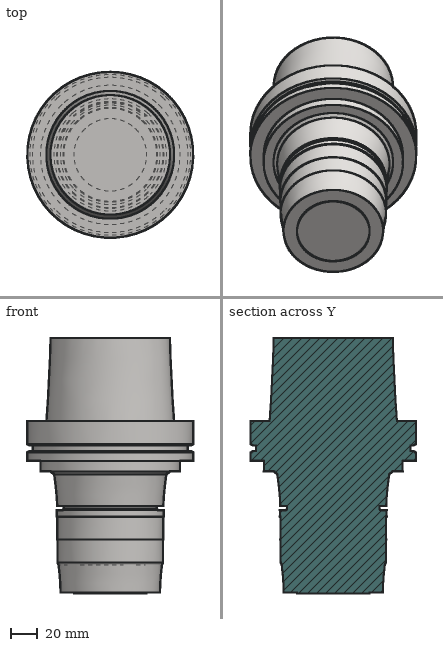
import cadquery as cq

taper_length = 62.5
groove_top_z = -17.4
groove_bottom_z = -23.7
groove_lip_height = 1.2
flange_bottom_z = -30.0
collar_bottom_z = -38.0
collar_chamfer_height = 2.2
neck_bottom_z = -64.0
ring_groove_width = 3.0
ring_groove_cone_height = 1.0
band_top_z = -72.3
ring_chamfer = 0.35
band_bottom_z = -89.3
sleeve_bottom_z = -106.5
sleeve_chamfer_height = 1.8
nose_bottom_z = -129.2
total_height = 192.4

taper_top_diameter = 90.0
taper_base_diameter = 96.25
flange_diameter = 125.0
flange_groove_diameter = 117.0
groove_lip_diameter = 121.0
collar_diameter = 105.0
collar_chamfer_diameter = 90.0
neck_top_diameter = 84.6
neck_bottom_diameter = 80.0
ring_groove_diameter = 70.0
ring_groove_flare_diameter = 71.4
ring_diameter = 80.7
band_diameter = 80.0
sleeve_diameter = 79.5
nose_top_diameter = 78.0
nose_bottom_diameter = 75.0
end_pad_diameter = 54.67

bottom_z = taper_length - total_height
ring_top_z = neck_bottom_z - ring_groove_width

section = [
    (0, taper_length),
    (taper_top_diameter, taper_length),
    (taper_base_diameter, 0),
    (flange_diameter, 0),
    (flange_diameter, groove_top_z),
    (groove_lip_diameter, groove_top_z - groove_lip_height),
    (flange_groove_diameter, groove_top_z - groove_lip_height),
    (flange_groove_diameter, groove_bottom_z + groove_lip_height),
    (groove_lip_diameter, groove_bottom_z + groove_lip_height),
    (flange_diameter, groove_bottom_z),
    (flange_diameter, flange_bottom_z),
    (collar_diameter, flange_bottom_z),
    (collar_diameter, collar_bottom_z),
    (collar_chamfer_diameter, collar_bottom_z),
    (neck_top_diameter, collar_bottom_z - collar_chamfer_height),
    (neck_bottom_diameter, neck_bottom_z),
    (ring_groove_diameter, neck_bottom_z),
    (ring_groove_diameter, ring_top_z + ring_groove_cone_height),
    (ring_groove_flare_diameter, ring_top_z),
    (ring_diameter, ring_top_z),
    (ring_diameter, band_top_z + ring_chamfer),
    (band_diameter, band_top_z),
    (band_diameter, band_bottom_z),
    (sleeve_diameter, band_bottom_z),
    (sleeve_diameter, sleeve_bottom_z),
    (nose_top_diameter, sleeve_bottom_z - sleeve_chamfer_height),
    (nose_bottom_diameter, nose_bottom_z),
    (end_pad_diameter, nose_bottom_z),
    (end_pad_diameter, bottom_z),
    (0, bottom_z),
]

half_section = [(diameter / 2, z) for diameter, z in section]
result = cq.Workplane("YZ").polyline(half_section).close().revolve(360, (0, 0), (0, 1))